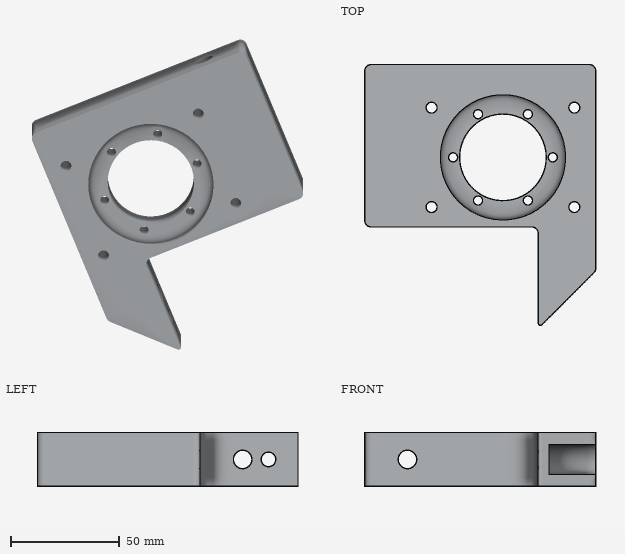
import cadquery as cq
import math

length_x = 107.0
length_y = 120.8
thickness = 25.0
x_max = 43.0
y_max = 43.0
x_min = x_max - length_x
y_min = y_max - length_y
mid_z = thickness / 2

body_front_y = -32.2
arm_inner_x = 16.3
corner_radius = 3.0
tip_radius = 1.0
sharp_tip_y = y_min - math.sqrt(2) * tip_radius
slant_end_y = sharp_tip_y + (x_max - arm_inner_x)

bore_diameter = 40.0
seat_diameter = 58.0
seat_depth = 5.0
screw_hole_diameter = 4.1
screw_circle_diameter = 46.1
screw_count = 6

mount_hole_diameter = 5.0
mount_spacing_x = 66.1
mount_spacing_y = 46.0

cross_hole_diameter = 8.5
cross_hole_x = -44.2

pivot_diameter = 8.5
pivot_y = -52.0
pin_diameter = 6.6
pin_y = -64.0
slot_width = 14.0
slot_floor_x = 21.4


def make_plate():
    """Plate with a downward arm ending in a 45 degree slant."""
    plate = (
        cq.Workplane("XY")
        .moveTo(x_min, y_max)
        .lineTo(x_max, y_max)
        .lineTo(x_max, slant_end_y)
        .lineTo(arm_inner_x, sharp_tip_y)
        .lineTo(arm_inner_x, body_front_y)
        .lineTo(x_min, body_front_y)
        .close()
        .extrude(thickness)
    )
    tip_edge = cq.selectors.NearestToPointSelector((arm_inner_x, sharp_tip_y, mid_z))
    plate = plate.edges("|Z").edges(tip_edge).fillet(tip_radius)
    corners = [
        (x_min, y_max),
        (x_max, y_max),
        (x_max, slant_end_y),
        (arm_inner_x, body_front_y),
        (x_min, body_front_y),
    ]
    for x, y in corners:
        corner_edge = cq.selectors.NearestToPointSelector((x, y, mid_z))
        plate = plate.edges("|Z").edges(corner_edge).fillet(corner_radius)
    return plate


def make_bearing_seats():
    """Through bore, equal seats in the top and bottom faces, and the ring of screw holes."""
    bore = cq.Workplane("XY").circle(bore_diameter / 2).extrude(thickness)
    bottom_seat = cq.Workplane("XY").circle(seat_diameter / 2).extrude(seat_depth)
    top_seat = bottom_seat.translate((0, 0, thickness - seat_depth))
    screws = (
        cq.Workplane("XY")
        .polarArray(screw_circle_diameter / 2, 0, 360, screw_count)
        .circle(screw_hole_diameter / 2)
        .extrude(thickness)
    )
    return bore.union(top_seat).union(bottom_seat).union(screws)


def make_mount_holes():
    """Rectangle of four through holes around the bearing seats."""
    return (
        cq.Workplane("XY")
        .rarray(mount_spacing_x, mount_spacing_y, 2, 2)
        .circle(mount_hole_diameter / 2)
        .extrude(thickness)
    )


def make_cross_hole():
    """Hole through the body along Y."""
    return (
        cq.Workplane("XZ", origin=(cross_hole_x, y_max, mid_z))
        .circle(cross_hole_diameter / 2)
        .extrude(y_max - body_front_y)
    )


def make_arm_hole(y, diameter):
    """Hole through the arm along X."""
    return (
        cq.Workplane("YZ", origin=(arm_inner_x, y, mid_z))
        .circle(diameter / 2)
        .extrude(x_max - arm_inner_x)
    )


def make_arm_slot():
    """Slot with a round end on the pivot axis, open to +X and to the slant."""
    half_width = slot_width / 2
    return (
        cq.Workplane("YZ", origin=(slot_floor_x, 0, mid_z))
        .moveTo(y_min, half_width)
        .lineTo(pivot_y, half_width)
        .threePointArc((pivot_y + half_width, 0), (pivot_y, -half_width))
        .lineTo(y_min, -half_width)
        .close()
        .extrude(x_max - slot_floor_x)
    )


result = (
    make_plate()
    .cut(make_bearing_seats())
    .cut(make_mount_holes())
    .cut(make_cross_hole())
    .cut(make_arm_hole(pivot_y, pivot_diameter))
    .cut(make_arm_hole(pin_y, pin_diameter))
    .cut(make_arm_slot())
)